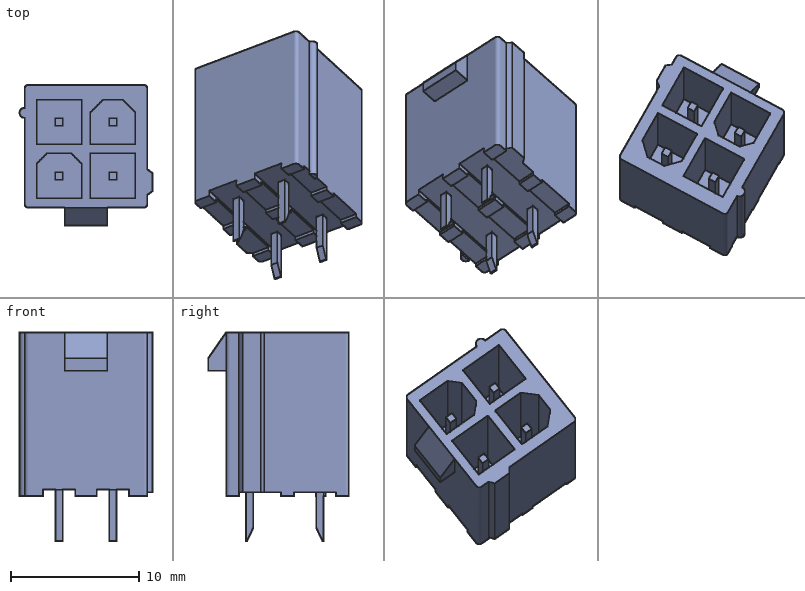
import cadquery as cq

OVERALL_WIDTH = 10.4
OVERALL_HEIGHT = 16.3

HOUSING_SIDE = 9.6
HOUSING_HEIGHT = 12.8
HALF_SIDE = HOUSING_SIDE / 2
CORNER_RADIUS = 0.3

CONTACT_PITCH = 4.2
GRID_OFFSET_Y = -0.21
COLUMN_SIDES = (-1, 1)
ROW_SIDES = (-1, 1)

CAVITY_SIDE = 3.5
FLOOR_THICKNESS = 3.0
FRONT_KEY_CHAMFER = 0.8
BACK_KEY_CHAMFER = 1.0

LENGTHWISE_CHANNEL_WIDTH = 2.5
LENGTHWISE_CHANNEL_DEPTH = 0.5
CROSSWISE_CHANNEL_DEPTH = 0.3
CROSSWISE_FOOT_WIDTH = 1.03
CROSSWISE_CHANNEL_WIDTH = (HOUSING_SIDE - 3 * CROSSWISE_FOOT_WIDTH) / 2
CROSSWISE_CHANNEL_PITCH = CROSSWISE_CHANNEL_WIDTH + CROSSWISE_FOOT_WIDTH

RIB_PROJECTION = (OVERALL_WIDTH - HOUSING_SIDE) / 2
ROUND_RIB_Y = 2.6
KEY_RIB_Y = -2.8
KEY_RIB_WIDTH = 2.0
KEY_RIB_TAPER = 0.3
KEY_RIB_BOTTOM = 0.3

LATCH_WIDTH = 3.35
LATCH_PROJECTION = 1.4
LATCH_RAMP_HEIGHT = 2.02
LATCH_HEIGHT = 3.02

PIN_THICKNESS = 0.59
HALF_PIN = PIN_THICKNESS / 2
LEG_ROW_PITCH = 5.5
LEG_OFFSET = (LEG_ROW_PITCH - CONTACT_PITCH) / 2
PIN_TOP_RECESS = 3.0
PIN_TOP = HOUSING_HEIGHT - PIN_TOP_RECESS
PIN_BOTTOM = HOUSING_HEIGHT - OVERALL_HEIGHT
STEP_BOTTOM = 1.3
STEP_TOP = STEP_BOTTOM + PIN_THICKNESS
LEG_TAPER_HEIGHT = 1.03
LEG_TIP_THICKNESS = 0.1


def contact_position(column, row):
    """X and Y of the contact in the given column and row."""
    return column * CONTACT_PITCH / 2, GRID_OFFSET_Y + row * CONTACT_PITCH / 2


def make_block():
    block = cq.Workplane("XY").rect(HOUSING_SIDE, HOUSING_SIDE).extrude(HOUSING_HEIGHT)
    return block.edges("|Z").fillet(CORNER_RADIUS)


def make_round_rib():
    """Half-round rib along the full height of the -X face."""
    return (
        cq.Workplane("XY")
        .moveTo(-HALF_SIDE, ROUND_RIB_Y + RIB_PROJECTION)
        .radiusArc((-HALF_SIDE - RIB_PROJECTION, ROUND_RIB_Y), -RIB_PROJECTION)
        .radiusArc((-HALF_SIDE, ROUND_RIB_Y - RIB_PROJECTION), -RIB_PROJECTION)
        .close()
        .extrude(HOUSING_HEIGHT)
    )


def make_key_rib():
    """Rib on the +X face, narrowing outwards and ending just above the feet bottoms."""
    outer_x = HALF_SIDE + RIB_PROJECTION
    base_half_width = KEY_RIB_WIDTH / 2
    outer_half_width = base_half_width - KEY_RIB_TAPER
    return (
        cq.Workplane("XY")
        .workplane(offset=KEY_RIB_BOTTOM)
        .moveTo(HALF_SIDE, KEY_RIB_Y - base_half_width)
        .lineTo(outer_x, KEY_RIB_Y - outer_half_width)
        .lineTo(outer_x, KEY_RIB_Y + outer_half_width)
        .lineTo(HALF_SIDE, KEY_RIB_Y + base_half_width)
        .close()
        .extrude(HOUSING_HEIGHT - KEY_RIB_BOTTOM)
    )


def make_latch():
    """Ramp at the top of the -Y face, with a flat lip below it."""
    outer_y = -HALF_SIDE - LATCH_PROJECTION
    return (
        cq.Workplane("YZ")
        .moveTo(-HALF_SIDE, HOUSING_HEIGHT)
        .lineTo(outer_y, HOUSING_HEIGHT - LATCH_RAMP_HEIGHT)
        .lineTo(outer_y, HOUSING_HEIGHT - LATCH_HEIGHT)
        .lineTo(-HALF_SIDE, HOUSING_HEIGHT - LATCH_HEIGHT)
        .close()
        .extrude(LATCH_WIDTH / 2, both=True)
    )


def make_cavity(column, row):
    """Square cavity; those on the diagonal where column equals row have keyed +Y corners."""
    cavity = (
        cq.Workplane("XY")
        .workplane(offset=FLOOR_THICKNESS)
        .center(*contact_position(column, row))
        .rect(CAVITY_SIDE, CAVITY_SIDE)
        .extrude(HOUSING_HEIGHT - FLOOR_THICKNESS)
    )
    if column == row:
        key_chamfer = BACK_KEY_CHAMFER if row > 0 else FRONT_KEY_CHAMFER
        cavity = cavity.edges("|Z and >Y").chamfer(key_chamfer)
    return cavity


def make_lengthwise_channels():
    return (
        cq.Workplane("XY")
        .pushPoints([(side * CONTACT_PITCH / 2, 0) for side in COLUMN_SIDES])
        .rect(LENGTHWISE_CHANNEL_WIDTH, HOUSING_SIDE)
        .extrude(LENGTHWISE_CHANNEL_DEPTH)
    )


def make_crosswise_channels():
    return (
        cq.Workplane("XY")
        .pushPoints([(0, side * CROSSWISE_CHANNEL_PITCH / 2) for side in ROW_SIDES])
        .rect(HOUSING_SIDE, CROSSWISE_CHANNEL_WIDTH)
        .extrude(CROSSWISE_CHANNEL_DEPTH)
    )


def make_pin(column, row):
    """Pin whose leg steps outwards in Y from its contact and tapers on its inner side."""
    contact_x, contact_y = contact_position(column, row)
    profile = [
        (-HALF_PIN, PIN_TOP),
        (HALF_PIN, PIN_TOP),
        (HALF_PIN, STEP_TOP),
        (LEG_OFFSET + HALF_PIN, STEP_TOP),
        (LEG_OFFSET + HALF_PIN, PIN_BOTTOM),
        (LEG_OFFSET + HALF_PIN - LEG_TIP_THICKNESS, PIN_BOTTOM),
        (LEG_OFFSET - HALF_PIN, PIN_BOTTOM + LEG_TAPER_HEIGHT),
        (LEG_OFFSET - HALF_PIN, STEP_BOTTOM),
        (-HALF_PIN, STEP_BOTTOM),
    ]
    return (
        cq.Workplane("YZ")
        .workplane(offset=contact_x)
        .polyline([(contact_y + row * outward, z) for outward, z in profile])
        .close()
        .extrude(HALF_PIN, both=True)
    )


def make_housing(pins):
    """Housing with its cavities, underside channels and a matching hole for each pin."""
    block = make_block().cut(make_lengthwise_channels()).cut(make_crosswise_channels())
    housing = block.union(make_round_rib()).union(make_key_rib()).union(make_latch())
    for column in COLUMN_SIDES:
        for row in ROW_SIDES:
            housing = housing.cut(make_cavity(column, row))
    for pin in pins:
        housing = housing.cut(pin)
    return housing


pins = [make_pin(column, row) for column in COLUMN_SIDES for row in ROW_SIDES]
housing = make_housing(pins)

result = cq.Compound.makeCompound([housing.val(), *[pin.val() for pin in pins]])